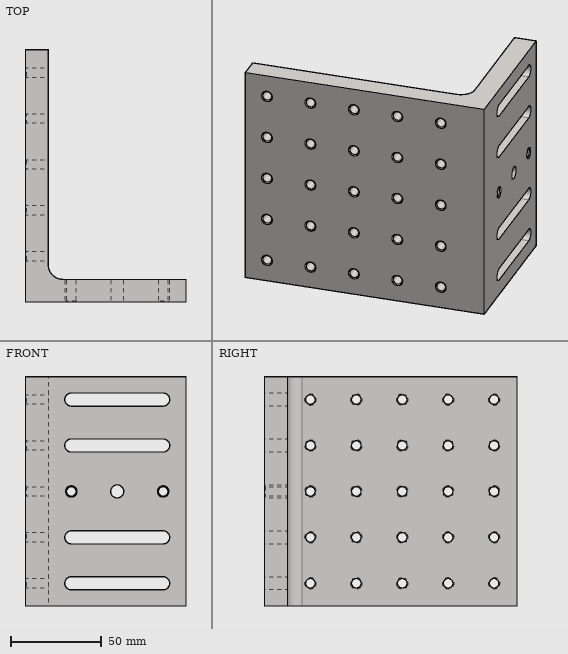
import cadquery as cq

length = 139.7
length_in_pitches = 5.5
width_in_pitches = 3.5
grid_count = 5
pitch = length / length_in_pitches
width = width_in_pitches * pitch
height = grid_count * pitch
thickness = pitch / 2

corner_radius = 8.0
clearance_diameter = 7.1
tapped_diameter = 5.2
countersink_diameter = pitch / 4

row_heights = [(row + 0.5) * pitch for row in range(grid_count)]
middle_height = row_heights[grid_count // 2]
slot_heights = [row_z for row_z in row_heights if row_z != middle_height]

slot_start = pitch
slot_end = 3 * pitch
slot_middle = (slot_start + slot_end) / 2


def angle_bracket():
    """L-shaped body with its outer corner on the Z axis."""
    outline = [
        (0, 0),
        (width, 0),
        (width, thickness),
        (thickness, thickness),
        (thickness, length),
        (0, length),
    ]
    body = cq.Workplane("XY").polyline(outline).close().extrude(height)
    inner_corner = cq.selectors.NearestToPointSelector((thickness, thickness, middle_height))
    return body.edges(inner_corner).fillet(corner_radius)


def tapped_hole(start, direction):
    """Cutter through one plate, with a 45 degree countersink at the outer face."""
    start = cq.Vector(*start)
    direction = cq.Vector(*direction)
    bore_radius = tapped_diameter / 2
    mouth_radius = countersink_diameter / 2
    sink_depth = mouth_radius - bore_radius
    bore = cq.Solid.makeCylinder(bore_radius, thickness, start, direction)
    countersink = cq.Solid.makeCone(mouth_radius, bore_radius, sink_depth, start, direction)
    return bore.fuse(countersink)


result = angle_bracket()

for column in range(grid_count):
    hole_y = (column + 1) * pitch
    for hole_z in row_heights:
        result = result.cut(cq.Workplane(tapped_hole((0, hole_y, hole_z), (1, 0, 0))))

for hole_x in (slot_start, slot_end):
    result = result.cut(cq.Workplane(tapped_hole((hole_x, 0, middle_height), (0, 1, 0))))

plain_hole = (
    cq.Workplane("XZ")
    .center(slot_middle, middle_height)
    .circle(clearance_diameter / 2)
    .extrude(-thickness)
)
slots = (
    cq.Workplane("XZ")
    .pushPoints([(slot_middle, slot_z) for slot_z in slot_heights])
    .slot2D(slot_end - slot_start + clearance_diameter, clearance_diameter)
    .extrude(-thickness)
)
result = result.cut(plain_hole).cut(slots)